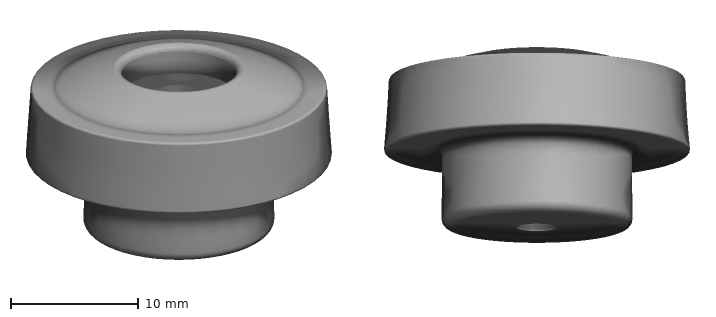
import cadquery as cq
import math

STEM_DIAMETER = 15.0
STEM_LENGTH = 6.0
STEM_DRAFT = 0.5
STEM_BOTTOM_FILLET = 0.7
STEM_ROOT_FILLET = 0.5

FLANGE_DIAMETER = 24.0
FLANGE_HEIGHT = 5.85
FLANGE_DRAFT = 3.9
FLANGE_EDGE_FILLET = 0.2

DOME_DIAMETER = 19.6
DOME_APEX_Z = 14.0

BORE_DIAMETER = 9.0
BORE_FLOOR_Z = 11.1
BORE_RIM_FILLET = 0.5
HOLE_DIAMETER = 3.24
HOLE_CHAMFER = 0.5

FLANGE_TOP_Z = STEM_LENGTH + FLANGE_HEIGHT

draft = math.radians(FLANGE_DRAFT)
corner_tangent_length = FLANGE_EDGE_FILLET * math.tan(math.pi / 4 + draft / 2)
fillet_side_offset = corner_tangent_length - FLANGE_EDGE_FILLET
flange_bottom_radius = FLANGE_DIAMETER / 2 + fillet_side_offset
flange_top_radius = flange_bottom_radius - FLANGE_HEIGHT * math.tan(draft)


def make_stem():
    stem = cq.Workplane("XY").circle(STEM_DIAMETER / 2).extrude(STEM_LENGTH, taper=STEM_DRAFT)
    return stem.faces("<Z").edges().fillet(STEM_BOTTOM_FILLET)


def make_flange():
    profile = (
        cq.Workplane("XZ")
        .moveTo(0, STEM_LENGTH)
        .lineTo(flange_bottom_radius, STEM_LENGTH)
        .lineTo(flange_top_radius, FLANGE_TOP_Z)
        .lineTo(0, FLANGE_TOP_Z)
        .close()
    )
    flange = profile.revolve(360, (0, 0), (0, 1))
    return flange.faces("<Z or >Z").edges().fillet(FLANGE_EDGE_FILLET)


def make_dome():
    base_radius = DOME_DIAMETER / 2
    rise = DOME_APEX_Z - FLANGE_TOP_Z
    sphere_radius = (base_radius**2 + rise**2) / (2 * rise)
    profile = (
        cq.Workplane("XZ")
        .moveTo(0, FLANGE_TOP_Z)
        .lineTo(base_radius, FLANGE_TOP_Z)
        .radiusArc((0, DOME_APEX_Z), -sphere_radius)
        .close()
    )
    return profile.revolve(360, (0, 0), (0, 1))


def cut_bore(body):
    depth = DOME_APEX_Z - BORE_FLOOR_Z
    bore = cq.Workplane("XY").workplane(offset=BORE_FLOOR_Z).circle(BORE_DIAMETER / 2).extrude(depth)
    return body.cut(bore).faces(">Z").edges(">Z").fillet(BORE_RIM_FILLET)


def cut_through_hole(body):
    hole = cq.Workplane("XY").circle(HOLE_DIAMETER / 2).extrude(BORE_FLOOR_Z)
    mouth_radius = HOLE_DIAMETER / 2 + HOLE_CHAMFER
    chamfer = cq.Workplane("XY").add(
        cq.Solid.makeCone(
            HOLE_DIAMETER / 2,
            mouth_radius,
            HOLE_CHAMFER,
            pnt=cq.Vector(0, 0, BORE_FLOOR_Z - HOLE_CHAMFER),
        )
    )
    return body.cut(hole).cut(chamfer)


def fillet_stem_root(body):
    tolerance = 0.01
    reach = STEM_DIAMETER / 2 + tolerance
    root = cq.selectors.BoxSelector(
        (-reach, -reach, STEM_LENGTH - tolerance),
        (reach, reach, STEM_LENGTH + tolerance),
        boundingbox=True,
    )
    return body.edges(root).fillet(STEM_ROOT_FILLET)


body = make_stem().union(make_flange()).union(make_dome())
body = fillet_stem_root(body)
body = cut_bore(body)
result = cut_through_hole(body)